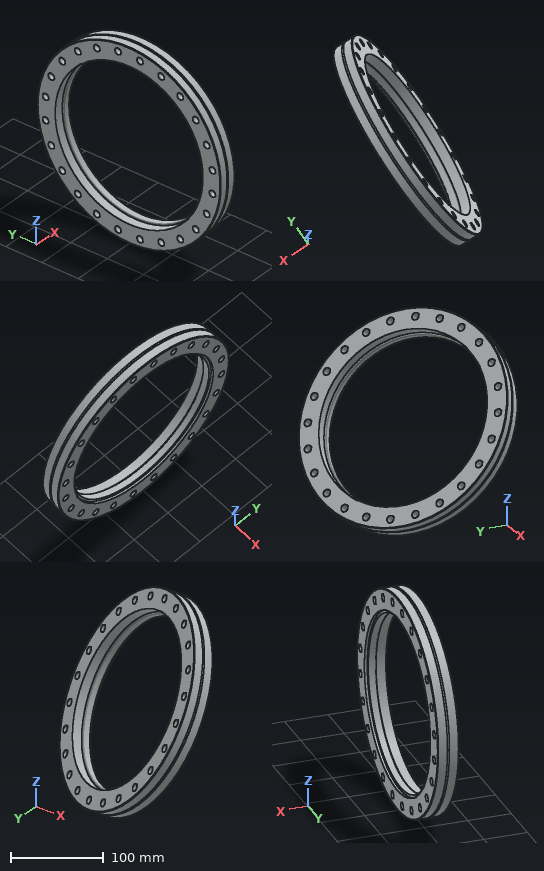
import cadquery as cq

outer_diameter = 253.0
thickness = 24.5
rim_chamfer = 0.8

bore_diameter = 199.0
socket_diameter = 203.7
socket_depth = 12.1
lip_radius = 0.5

recess_diameter = 205.5
recess_depth = 3.3

groove_width = 2.3
groove_depth = 0.3

bolt_count = 24
bolt_hole_diameter = 8.3
bolt_circle_diameter = 232.0

face_x = -thickness / 2


def disc(diameter, start_x, length):
    """Solid cylinder along +X, starting at start_x."""
    return cq.Workplane("YZ", origin=(start_x, 0, 0)).circle(diameter / 2).extrude(length)


def rim_groove():
    """Ring with an arc-shaped section that cuts the groove into the rim."""
    rim_radius = outer_diameter / 2
    return (
        cq.Workplane("XY")
        .moveTo(-groove_width / 2, rim_radius)
        .threePointArc((0, rim_radius - groove_depth), (groove_width / 2, rim_radius))
        .close()
        .revolve(360, (0, 0, 0), (1, 0, 0))
    )


def bolt_holes():
    """Cylinders spaced evenly on the bolt circle, through the full thickness."""
    pitch_angle = 360 / bolt_count
    return (
        cq.Workplane("YZ", origin=(face_x, 0, 0))
        .polarArray(bolt_circle_diameter / 2, pitch_angle / 2, 360, bolt_count)
        .circle(bolt_hole_diameter / 2)
        .extrude(thickness)
    )


ring = disc(outer_diameter, face_x, thickness).faces("<X or >X").edges().chamfer(rim_chamfer)
ring = ring.cut(disc(bore_diameter, face_x, thickness))
ring = ring.cut(disc(socket_diameter, face_x, socket_depth))

lip_selector = cq.selectors.RadiusNthSelector(0)
ring = ring.edges(lip_selector).edges("<X").fillet(lip_radius)

ring = ring.cut(disc(recess_diameter, -face_x - recess_depth, recess_depth))
result = ring.cut(rim_groove()).cut(bolt_holes())